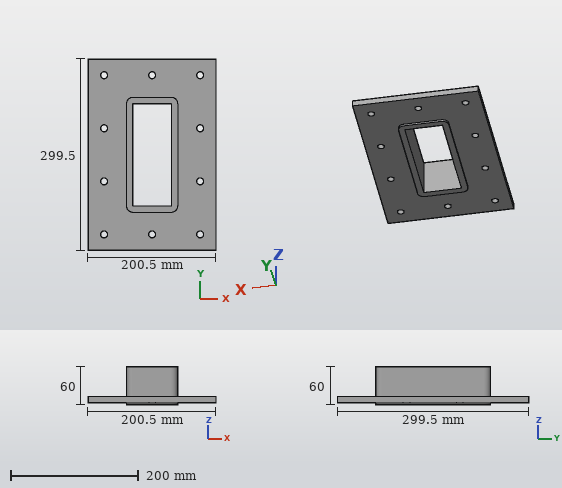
import cadquery as cq

plate_width = 200.5
plate_length = 299.5
plate_thickness = 10.2

tube_width = 80.3
tube_length = 180.0
tube_height = 60
tube_wall = 10.2
tube_corner_radius = tube_wall
tube_drop = 3.3

hole_diameter = 10.5
hole_span_x = 150.3
hole_span_y = 249.2
holes_along_x = 3
holes_along_y = 4


def bolt_points():
    """Hole centres on the perimeter of a centred rectangular grid."""
    pitch_x = hole_span_x / (holes_along_x - 1)
    pitch_y = hole_span_y / (holes_along_y - 1)
    points = []
    for column in range(holes_along_x):
        for row in range(holes_along_y):
            on_side = column in (0, holes_along_x - 1)
            on_end = row in (0, holes_along_y - 1)
            if on_side or on_end:
                x = column * pitch_x - hole_span_x / 2
                y = row * pitch_y - hole_span_y / 2
                points.append((x, y))
    return points


def make_plate():
    plate = cq.Workplane("XY").rect(plate_width, plate_length).extrude(plate_thickness)
    return plate.faces(">Z").workplane().pushPoints(bolt_points()).hole(hole_diameter)


def make_tube_body():
    body = cq.Workplane("XY").workplane(offset=-tube_drop)
    body = body.rect(tube_width, tube_length).extrude(tube_height)
    return body.edges("|Z").fillet(tube_corner_radius)


def make_tube_opening():
    """Sharp-cornered passage through the full height of the tube."""
    opening = cq.Workplane("XY").workplane(offset=-tube_drop)
    opening = opening.rect(tube_width - 2 * tube_wall, tube_length - 2 * tube_wall)
    return opening.extrude(tube_height)


result = make_plate().union(make_tube_body()).cut(make_tube_opening())